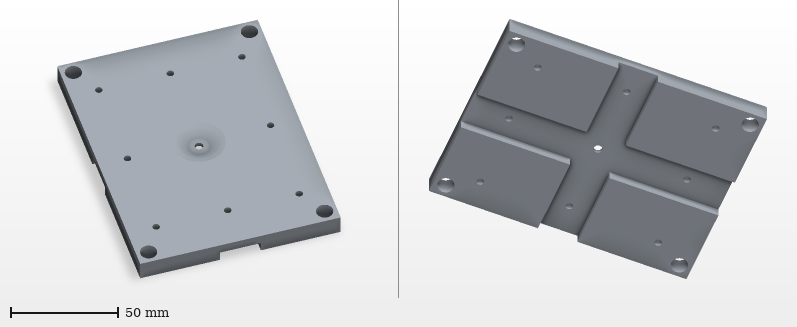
import cadquery as cq

length = 130.0
width = 98.0
thickness = 10.0

channel_width = 20.0
channel_depth = thickness / 2

corner_hole_diameter = 8.0
corner_spacing_x = 118.0
corner_spacing_y = 86.0
small_hole_diameter = 3.5
small_spacing_x = 90.0
small_spacing_y = 70.0
center_hole_diameter = 4.0

recess_top_diameter = 25.0
recess_floor_diameter = 10.0
recess_depth = 3.0


def make_plate():
    """Plate centred in X and Y, resting on Z = 0."""
    return cq.Workplane("XY").box(length, width, thickness, centered=(True, True, False))


def make_channels():
    """Two channels that cross under the plate and run out of all four sides."""
    centered = (True, True, False)
    along_x = cq.Workplane("XY").box(length, channel_width, channel_depth, centered=centered)
    along_y = cq.Workplane("XY").box(channel_width, width, channel_depth, centered=centered)
    return along_x.union(along_y)


def make_hole_cutters(points, diameter):
    return cq.Workplane("XY").pushPoints(points).circle(diameter / 2).extrude(thickness)


def make_recess():
    return (
        cq.Workplane("XY", origin=(0, 0, thickness - recess_depth))
        .circle(recess_floor_diameter / 2)
        .workplane(offset=recess_depth)
        .circle(recess_top_diameter / 2)
        .loft(ruled=True)
    )


corner_points = [
    (side_x * corner_spacing_x / 2, side_y * corner_spacing_y / 2)
    for side_x in (-1, 1)
    for side_y in (-1, 1)
]

small_points = [
    (column * small_spacing_x / 2, row * small_spacing_y / 2)
    for column in (-1, 0, 1)
    for row in (-1, 0, 1)
    if (column, row) != (0, 0)
]

result = (
    make_plate()
    .cut(make_channels())
    .cut(make_recess())
    .cut(make_hole_cutters(corner_points, corner_hole_diameter))
    .cut(make_hole_cutters(small_points, small_hole_diameter))
    .cut(make_hole_cutters([(0, 0)], center_hole_diameter))
)